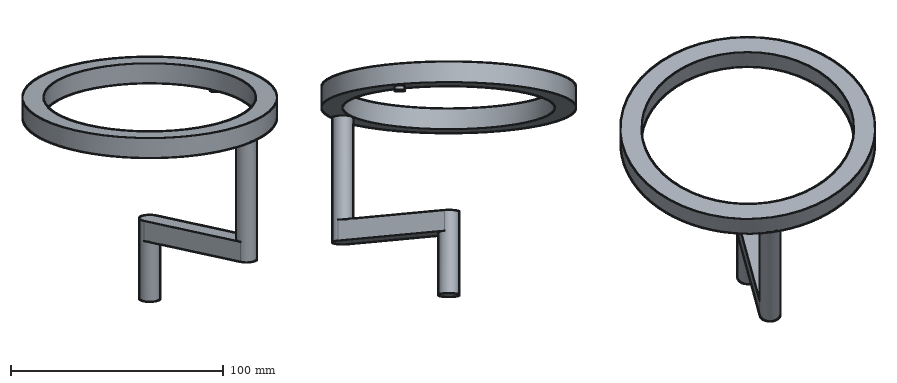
import cadquery as cq

ring_outer_diameter = 120
ring_inner_diameter = 100
ring_height = 10
ring_mid_radius = (ring_outer_diameter + ring_inner_diameter) / 4

total_height = 100
bar_width = 10
arm_bottom = 30
arm_height = 10
arm_top = arm_bottom + arm_height
ring_bottom = total_height - ring_height

peg_diameter = 5
peg_length = 2


def upright(diameter, x, y, bottom, top):
    """Vertical round bar centred on (x, y)."""
    return (
        cq.Workplane("XY", origin=(x, y, bottom))
        .circle(diameter / 2)
        .extrude(top - bottom)
    )


def make_ring():
    return (
        cq.Workplane("XY", origin=(0, 0, ring_bottom))
        .circle(ring_outer_diameter / 2)
        .circle(ring_inner_diameter / 2)
        .extrude(ring_height)
    )


def make_arm():
    """Flat-sided arm from the ring axis out to the post axis."""
    return cq.Workplane("XY", origin=(0, 0, arm_bottom)).box(
        ring_mid_radius, bar_width, arm_height, centered=(False, True, False)
    )


stem = upright(bar_width, 0, 0, 0, arm_top)
post = upright(bar_width, ring_mid_radius, 0, arm_bottom, ring_bottom)
peg = upright(peg_diameter, 0, ring_mid_radius, ring_bottom - peg_length, ring_bottom)

result = make_ring().union(post).union(make_arm()).union(stem).union(peg)